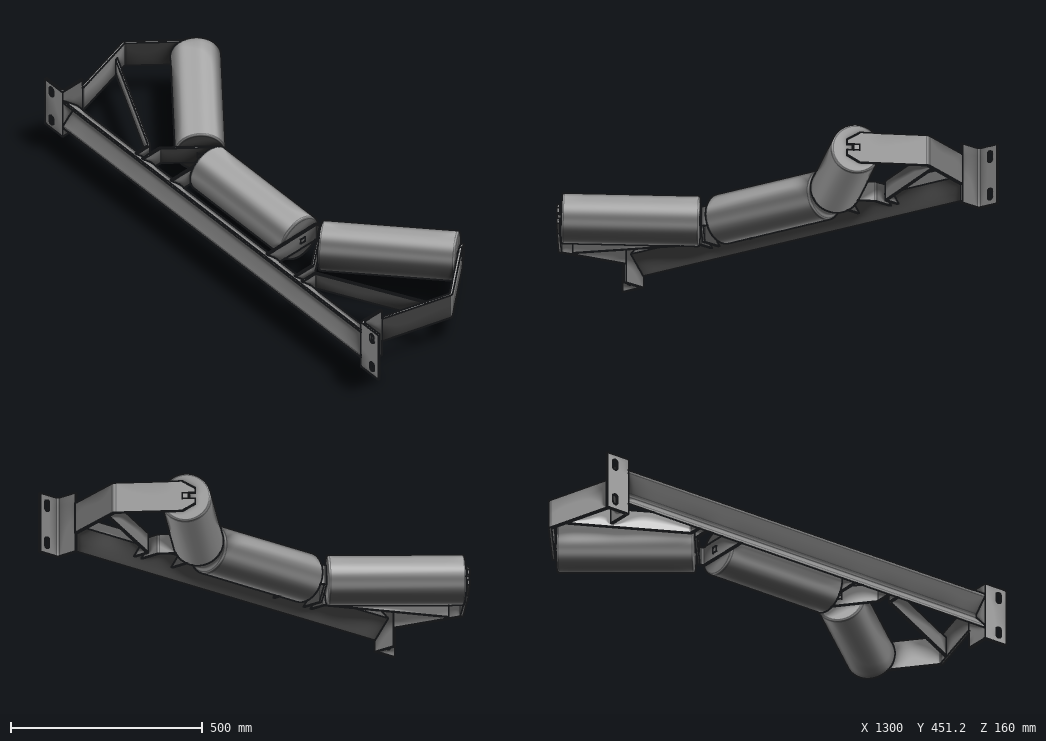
import cadquery as cq
import math

TOTAL_LENGTH = 1300.0

BEAM_LEG = 70.0
BEAM_THICKNESS = 6.0
BEAM_ROOT_RADIUS = 8.0
BEAM_TOE_RADIUS = 5.8

FOOT_WIDTH = 69.0
FOOT_DEPTH = 70.0
FOOT_HEIGHT = 160.0
FOOT_THICKNESS = 6.0
FOOT_ROOT_RADIUS = 5.0
SLOT_LENGTH = 30.0
SLOT_WIDTH = 15.0
SLOT_EDGE_DISTANCE = 25.0
SLOT_SPACING = 101.0

ROLLER_RADIUS = 66.0
ROLLER_LENGTH = 360.0
ROLLER_EDGE_RADIUS = 5.0
SPINDLE_DIAMETER = 22.0
SPINDLE_SQUARE = 15.0
CENTRE_ROLLER_Y = 150.0

WING_CENTRE_X = 373.0
WING_CENTRE_Y = 287.0
WING_ANGLE = 40.0
WING_RISE = 10.0

STRIP_THICKNESS = 6.0
STRIP_HEIGHT = 52.0
STRIP_BEND_RADIUS = 6.0
INNER_GAP = 4.0
INNER_TOP_Y = 202.0
INNER_LEG_X = 298.0
BRACE_LEG_X = 324.0
BRACE_BEND_Y = 73.0
BRACE_ANGLE = 27.2

ARM_THICKNESS = 8.0
ARM_HEIGHT = 80.0
ARM_BEND_RADIUS = 9.0
ARM_GAP = 5.0
ARM_BEND_X = 638.0
ARM_LEAN = 15.5
ARM_TIP_LENGTH = 26.0
ARM_TIP_CHAMFER_LENGTH = 34.0
ARM_TIP_CHAMFER_HEIGHT = 20.0

TOE_REACH = BEAM_LEG + BEAM_THICKNESS - BEAM_TOE_RADIUS * (2 - math.sqrt(2))
BEAM_CORNER_Y = TOE_REACH / math.sqrt(2)
FOOT_INNER_X = TOTAL_LENGTH / 2 - FOOT_WIDTH
BEAM_LENGTH = 2 * FOOT_INNER_X
AXIS_X = math.cos(math.radians(WING_ANGLE))
AXIS_Y = math.sin(math.radians(WING_ANGLE))
WING_TILT = math.degrees(math.asin(WING_RISE / ROLLER_LENGTH))
INNER_OFFSET = ROLLER_LENGTH / 2 + INNER_GAP + STRIP_THICKNESS / 2
ARM_OFFSET = ROLLER_LENGTH / 2 + ARM_GAP + ARM_THICKNESS / 2


def wing_point(along, across):
    """Plan point measured from the middle of the right wing roller, along and across its axis."""
    x = WING_CENTRE_X + along * AXIS_X - across * AXIS_Y
    y = WING_CENTRE_Y + along * AXIS_Y + across * AXIS_X
    return (x, y)


def wing_point_at_x(along, x):
    """Point with a given X on the line square to the wing axis at the distance along it."""
    across = (WING_CENTRE_X + along * AXIS_X - x) / AXIS_Y
    return wing_point(along, across)


def wing_point_at_y(along, y):
    """Point with a given Y on the line square to the wing axis at the distance along it."""
    across = (y - WING_CENTRE_Y - along * AXIS_Y) / AXIS_X
    return wing_point(along, across)


def turn_to_wing(shape):
    """Turn a shape built along X about the origin to the right wing axis in plan, and move it there."""
    return shape.rotate((0, 0, 0), (0, 0, 1), WING_ANGLE).translate((WING_CENTRE_X, WING_CENTRE_Y, 0))


def place_on_wing(shape):
    """Tilt a shape built along X about the origin and move it onto the right wing roller axis."""
    tilted = shape.rotate((0, 0, 0), (0, 1, 0), -WING_TILT)
    return turn_to_wing(tilted).translate((0, 0, WING_RISE / 2))


def mirrored(shape):
    return shape.mirror("YZ")


def nearest(point):
    return cq.selectors.NearestToPointSelector(point)


def bent_strip(points, thickness, height, bend_radius, middle_z=0.0):
    """Flat strip on edge that follows a centre line in plan, with rounded bends."""
    corners = [cq.Vector(x, y, middle_z) for x, y in points]
    path = cq.Wire.makePolygon(corners).fillet(bend_radius)
    start = cq.Plane(origin=corners[0], xDir=(0, 0, 1), normal=corners[1] - corners[0])
    return cq.Workplane(start).rect(height, thickness).sweep(cq.Workplane(path))


def angle_outline(workplane, leg_a, leg_b, thickness):
    """L outline with its outer corner at the workplane origin."""
    corners = [
        (0, 0),
        (leg_a, 0),
        (leg_a, thickness),
        (thickness, thickness),
        (thickness, leg_b),
        (0, leg_b),
    ]
    return workplane.polyline(corners).close()


def make_beam():
    """Equal angle bar along X with both legs sloping at 45 degrees and rounded toes."""
    end_plane = cq.Workplane("YZ", origin=(-BEAM_LENGTH / 2, 0, 0))
    bar = angle_outline(end_plane, BEAM_LEG, BEAM_LEG, BEAM_THICKNESS).extrude(BEAM_LENGTH)
    bar = bar.edges(nearest((0, BEAM_THICKNESS, BEAM_THICKNESS))).fillet(BEAM_ROOT_RADIUS)
    for toe in ((0, BEAM_LEG, BEAM_THICKNESS), (0, BEAM_THICKNESS, BEAM_LEG)):
        bar = bar.edges(nearest(toe)).fillet(BEAM_TOE_RADIUS)
    return bar.rotate((0, 0, 0), (1, 0, 0), 135).translate((0, BEAM_CORNER_Y, 0))


def beam_envelope():
    """Wedge filled by the beam and the hollow between its legs."""
    corners = [(BEAM_CORNER_Y, 0), (0, BEAM_CORNER_Y), (0, -BEAM_CORNER_Y)]
    end_plane = cq.Workplane("YZ", origin=(-BEAM_LENGTH / 2, 0, 0))
    return end_plane.polyline(corners).close().extrude(BEAM_LENGTH)


def make_foot():
    """Upright angle bar: a bolting plate with two slots in front and a flange closing the beam."""
    base_plane = cq.Workplane("XY", origin=(FOOT_INNER_X, 0, -FOOT_HEIGHT / 2))
    foot = angle_outline(base_plane, FOOT_WIDTH, FOOT_DEPTH, FOOT_THICKNESS).extrude(FOOT_HEIGHT)
    root = (FOOT_INNER_X + FOOT_THICKNESS, FOOT_THICKNESS, 0)
    foot = foot.edges(nearest(root)).fillet(FOOT_ROOT_RADIUS)
    slot_x = TOTAL_LENGTH / 2 - SLOT_EDGE_DISTANCE
    slots = (
        cq.Workplane("XZ")
        .pushPoints([(slot_x, side * SLOT_SPACING / 2) for side in (-1, 1)])
        .slot2D(SLOT_LENGTH, SLOT_WIDTH, 90)
        .extrude(-FOOT_THICKNESS)
    )
    return foot.cut(slots)


def make_inner_support():
    """Strip that holds the centre roller on its post and the wing roller on its sloping side."""
    points = [
        (INNER_OFFSET, 0),
        (INNER_OFFSET, INNER_TOP_Y),
        wing_point_at_y(-INNER_OFFSET, INNER_TOP_Y),
        wing_point_at_x(-INNER_OFFSET, INNER_LEG_X),
        (INNER_LEG_X, 0),
    ]
    strip = bent_strip(points, STRIP_THICKNESS, STRIP_HEIGHT, STRIP_BEND_RADIUS)
    return strip.cut(beam_envelope())


ARM_BEND = wing_point_at_x(ARM_OFFSET, ARM_BEND_X)
ARM_RUN = math.tan(math.radians(ARM_LEAN))


def foot_space():
    """Space of the foot flange and of everything inward of its inner face, up past the arm end."""
    front = cq.Workplane("XY").box(TOTAL_LENGTH, FOOT_DEPTH, FOOT_HEIGHT, centered=(True, False, True))
    side = cq.Workplane("XY").box(FOOT_INNER_X, 2 * FOOT_DEPTH, FOOT_HEIGHT, centered=(False, False, True))
    return front.union(side)


def tip_corners():
    """Wedges cut from the corners of the arm tip, in the plan axes of the wing roller."""
    wedges = cq.Workplane("XY")
    start_x = ARM_OFFSET - ARM_THICKNESS
    for side in (-1, 1):
        edge_z = WING_RISE + side * ARM_HEIGHT / 2
        corners = [
            (ARM_TIP_LENGTH - ARM_TIP_CHAMFER_LENGTH, edge_z),
            (ARM_TIP_LENGTH, edge_z),
            (ARM_TIP_LENGTH, edge_z - side * ARM_TIP_CHAMFER_HEIGHT),
        ]
        wedge = cq.Workplane("YZ", origin=(start_x, 0, 0)).polyline(corners).close()
        wedges = wedges.add(wedge.extrude(2 * ARM_THICKNESS))
    return wedges.combine()


def spindle_slot():
    """Slot open to the arm tip, in the axes of the wing roller; the spindle sits on its floor."""
    length = SPINDLE_SQUARE / 2 + 2 * ARM_TIP_LENGTH
    slot = cq.Workplane("XY").box(2 * ARM_THICKNESS, length, SPINDLE_SQUARE, centered=(True, False, True))
    return slot.translate((ARM_OFFSET, -SPINDLE_SQUARE / 2, 0))


def make_arm():
    """Strip from the foot out to the bend and back up along the end of the wing roller."""
    bend_x, bend_y = ARM_BEND
    bottom_y = FOOT_DEPTH / 2
    points = [
        wing_point(ARM_OFFSET, ARM_TIP_LENGTH),
        ARM_BEND,
        (bend_x - (bend_y - bottom_y) * ARM_RUN, bottom_y),
    ]
    arm = bent_strip(points, ARM_THICKNESS, ARM_HEIGHT, ARM_BEND_RADIUS, WING_RISE)
    arm = arm.cut(foot_space())
    arm = arm.cut(turn_to_wing(tip_corners()))
    return arm.cut(place_on_wing(spindle_slot()))


def make_brace():
    """Strip from the beam up to the centre line of the leaning part of the arm."""
    bend_x, bend_y = ARM_BEND
    slope = math.tan(math.radians(BRACE_ANGLE))
    arm_x_at_brace_bend = bend_x - (bend_y - BRACE_BEND_Y) * ARM_RUN
    run = (arm_x_at_brace_bend - BRACE_LEG_X) / (1 - slope * ARM_RUN)
    points = [
        (BRACE_LEG_X, 0),
        (BRACE_LEG_X, BRACE_BEND_Y),
        (BRACE_LEG_X + run, BRACE_BEND_Y + run * slope),
    ]
    strip = bent_strip(points, STRIP_THICKNESS, STRIP_HEIGHT, STRIP_BEND_RADIUS)
    return strip.cut(beam_envelope())


def round_bar(radius):
    """Round bar as long as a roller drum."""
    return cq.Workplane("YZ", origin=(-ROLLER_LENGTH / 2, 0, 0)).circle(radius).extrude(ROLLER_LENGTH)


def make_roller():
    """Roller drum with rounded rims, bored for its spindle."""
    drum = round_bar(ROLLER_RADIUS).edges("%CIRCLE").fillet(ROLLER_EDGE_RADIUS)
    return drum.cut(round_bar(SPINDLE_DIAMETER / 2))


def make_spindle(left_end, right_end):
    """Spindle, round inside the drum, with square ends that project to the supports."""
    start_x = -ROLLER_LENGTH / 2 - left_end
    length = left_end + ROLLER_LENGTH + right_end
    square = cq.Workplane("YZ", origin=(start_x, 0, 0)).rect(SPINDLE_SQUARE, SPINDLE_SQUARE)
    return square.extrude(length).union(round_bar(SPINDLE_DIAMETER / 2))


inner_end = INNER_GAP + STRIP_THICKNESS
outer_end = ARM_GAP + ARM_THICKNESS
centre_spindle = make_spindle(inner_end, inner_end).translate((0, CENTRE_ROLLER_Y, 0))
wing_spindle = place_on_wing(make_spindle(inner_end, outer_end))
spindles = [centre_spindle, wing_spindle, mirrored(wing_spindle)]

centre_roller = make_roller().translate((0, CENTRE_ROLLER_Y, 0))
wing_roller = place_on_wing(make_roller())
rollers = [centre_roller, wing_roller, mirrored(wing_roller)]

inner_support = make_inner_support().cut(centre_spindle).cut(wing_spindle)
frame = make_beam()
for welded_part in (make_foot(), inner_support):
    frame = frame.union(welded_part).union(mirrored(welded_part))

outer_support = make_arm().union(make_brace())
outer_supports = [outer_support, mirrored(outer_support)]

bodies = [frame, *outer_supports, *rollers, *spindles]
result = cq.Compound.makeCompound([body.solids().val() for body in bodies])